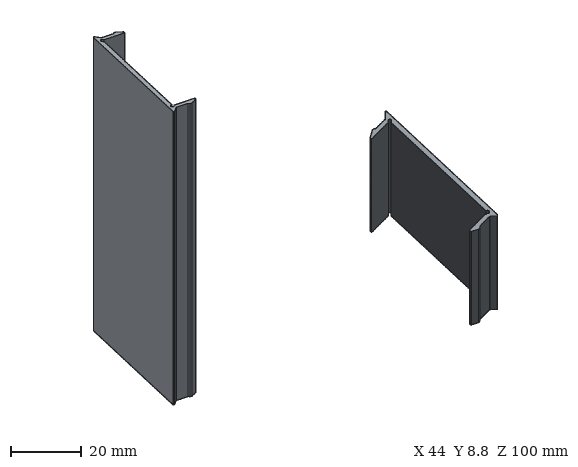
import cadquery as cq

width = 44.0
depth = 8.8
length = 100.0
half_width = width / 2

plate_thickness = 1.5
corner_radius = 0.2
edge_height = 0.4

wall_inner = 19.2
wall_outer = 20.5
flare_width = 1.4
flare_top = 1.8
flare_blend_top = 2.0

tip_thickness = 0.7
tip_land = 0.2
lip_projection = 0.4
lip_taper = 0.05
lip_peak = 6.8
lip_underside = 6.2
lip_foot = 5.8
lip_outer = wall_outer + lip_projection
tip_outer = wall_inner + tip_thickness

groove_radius = 0.5
groove_height = 1.4


def half_profile():
    """Right half of the cross-section, from the centre line outwards."""
    return (
        cq.Workplane("XY")
        .moveTo(0, 0)
        .lineTo(half_width - corner_radius, 0)
        .radiusArc((half_width, corner_radius), corner_radius)
        .lineTo(half_width, edge_height)
        .lineTo(half_width - flare_width, flare_top)
        .lineTo(wall_outer, flare_blend_top)
        .lineTo(wall_outer, lip_foot)
        .lineTo(lip_outer - lip_taper, lip_underside)
        .lineTo(lip_outer, lip_peak)
        .lineTo(tip_outer, depth - tip_land)
        .lineTo(tip_outer, depth)
        .lineTo(wall_inner, depth)
        .lineTo(wall_inner, plate_thickness)
        .lineTo(0, plate_thickness)
        .close()
    )


def relief_groove():
    """Cylinder that undercuts the inner corner of the wall and plate."""
    return cq.Workplane("XY").center(wall_inner, groove_height).circle(groove_radius).extrude(length)


half = half_profile().extrude(length).cut(relief_groove())
result = half.union(half.mirror("YZ")).clean()